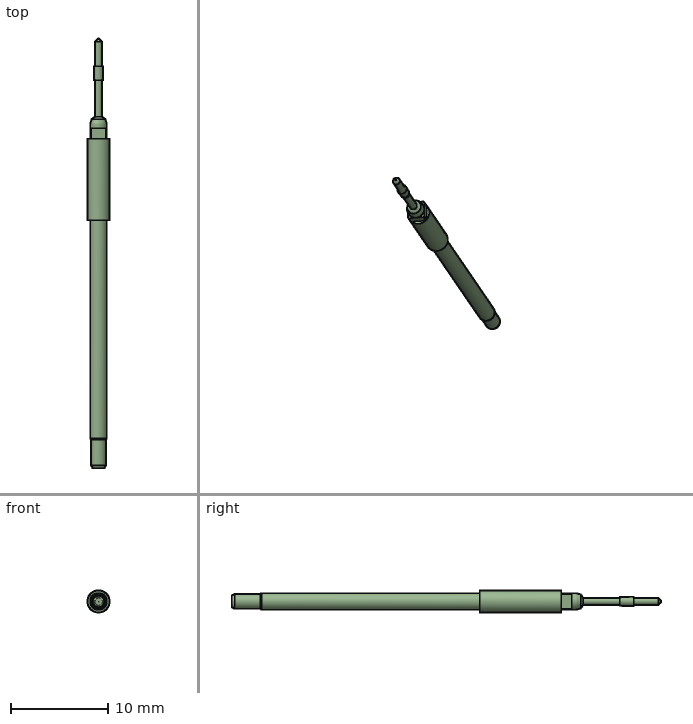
import cadquery as cq
import math

length = 44.3
tip_y = length / 2

point_flat_diameter = 0.1
plunger_diameter = 0.75
ring_lip_diameter = 0.97
ring_rear_diameter = 0.95
nose_diameter = 1.45
body_diameter = 1.73
sleeve_diameter = 2.3
tail_diameter = 1.55

point_end = 0.35
ring_start = 2.9
ring_lip_end = 3.1
ring_end = 4.3
nose_start = 8.05
nose_cone_end = 8.35
collar_start = 8.75
sleeve_start = 9.25
flats_end = 10.3
sleeve_end = 18.75
tail_start = 41.35

flats_width = 1.73
body_chamfer_length = 0.15
tail_chamfer_length = 0.3
tail_chamfer_depth = 0.18


def revolved_pin():
    """Stepped round pin, outlined from the tip back to the tail and spun about Y."""
    plunger_radius = plunger_diameter / 2
    ring_lip_radius = ring_lip_diameter / 2
    body_radius = body_diameter / 2
    sleeve_radius = sleeve_diameter / 2
    tail_radius = tail_diameter / 2

    def at(radius, distance):
        """Outline point at a radius and a distance back from the tip."""
        return (tip_y - distance, radius)

    flare_radius = ring_lip_radius - plunger_radius
    flare_start = ring_start - flare_radius
    flare_middle = at(
        ring_lip_radius - flare_radius * math.sqrt(0.5),
        flare_start + flare_radius * math.sqrt(0.5),
    )
    outline = (
        cq.Workplane("YZ")
        .moveTo(*at(0, 0))
        .lineTo(*at(point_flat_diameter / 2, 0))
        .lineTo(*at(plunger_radius, point_end))
        .lineTo(*at(plunger_radius, flare_start))
        .threePointArc(flare_middle, at(ring_lip_radius, ring_start))
    )
    behind_flare = [
        at(ring_lip_radius, ring_lip_end),
        at(ring_rear_diameter / 2, ring_end),
        at(plunger_radius, ring_end),
        at(plunger_radius, nose_start),
        at(nose_diameter / 2, nose_cone_end),
        at(body_radius, collar_start),
        at(body_radius, sleeve_start),
        at(sleeve_radius, sleeve_start),
        at(sleeve_radius, sleeve_end),
        at(body_radius, sleeve_end),
        at(body_radius, tail_start - body_chamfer_length),
        at(tail_radius, tail_start),
        at(tail_radius, length - tail_chamfer_length),
        at(tail_radius - tail_chamfer_depth, length),
        at(0, length),
    ]
    for point in behind_flare:
        outline = outline.lineTo(*point)
    return outline.close().revolve(360, (0, 0), (1, 0))


def square_flats_cut():
    """Waste around the four flats at the front of the sleeve."""
    flats_length = flats_end - sleeve_start
    middle_y = tip_y - (sleeve_start + flats_end) / 2
    blank_width = 2 * sleeve_diameter
    blank = cq.Workplane("XY").box(blank_width, flats_length, blank_width)
    square = cq.Workplane("XY").box(flats_width, flats_length, flats_width)
    return blank.cut(square).translate((0, middle_y, 0))


result = revolved_pin().cut(square_flats_cut())